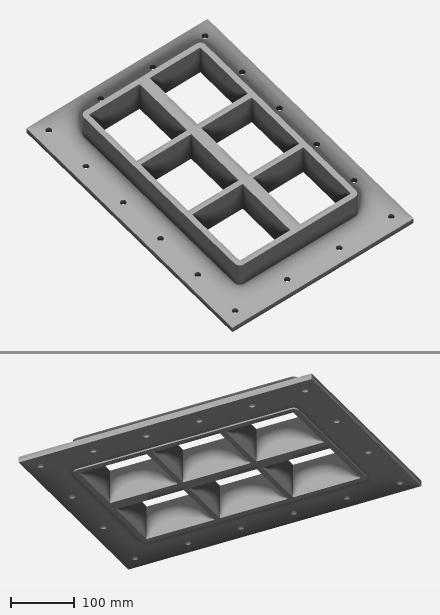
import cadquery as cq

plate_length = 521.5
plate_width = 362.0
plate_thickness = 10.5
plate_bottom = 2.5

frame_length = 401.0
frame_width = 242.0
frame_height = 60.0
corner_radius = 10.0

wall = 10.0
center_bar = 20.5
columns = 3
rows = 2
window_length = (frame_length - (columns + 1) * wall) / columns
window_width = (frame_width - 2 * wall - center_bar) / rows

hole_diameter = 10.5
hole_inset = 25.0
holes_along_x = 6
holes_along_y = 4
hole_pitch_x = (plate_length - 2 * hole_inset) / (holes_along_x - 1)
hole_pitch_y = (plate_width - 2 * hole_inset) / (holes_along_y - 1)


def make_plate():
    return (
        cq.Workplane("XY")
        .workplane(offset=plate_bottom)
        .rect(plate_length, plate_width)
        .extrude(plate_thickness)
    )


def make_frame():
    return (
        cq.Workplane("XY")
        .rect(frame_length, frame_width)
        .extrude(frame_height)
        .edges("|Z")
        .fillet(corner_radius)
    )


def make_windows():
    return (
        cq.Workplane("XY")
        .rarray(window_length + wall, window_width + center_bar, columns, rows)
        .rect(window_length, window_width)
        .extrude(frame_height)
    )


def rim_hole_centers():
    centers = []
    for i in range(holes_along_x):
        for j in range(holes_along_y):
            if i in (0, holes_along_x - 1) or j in (0, holes_along_y - 1):
                x = hole_inset - plate_length / 2 + i * hole_pitch_x
                y = hole_inset - plate_width / 2 + j * hole_pitch_y
                centers.append((x, y))
    return centers


def make_rim_holes():
    return (
        cq.Workplane("XY")
        .pushPoints(rim_hole_centers())
        .circle(hole_diameter / 2)
        .extrude(frame_height)
    )


result = make_plate().union(make_frame()).cut(make_windows()).cut(make_rim_holes())